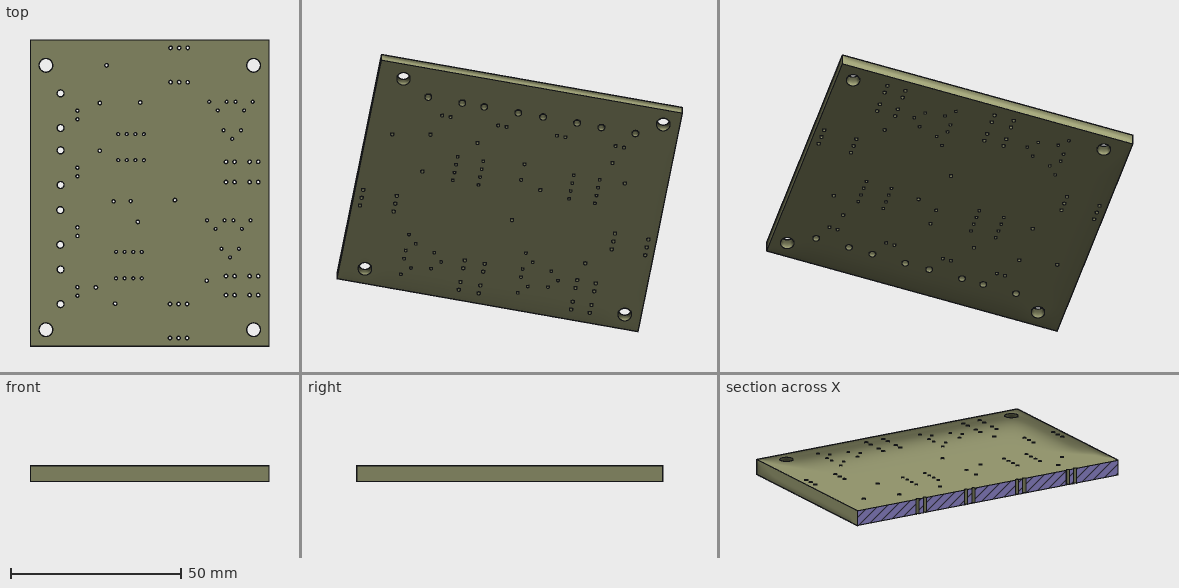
import cadquery as cq

WIDTH = 70.3
LENGTH = 90.1
THICKNESS = 4.7

MOUNT_DIAMETER = 4.0
TERMINAL_DIAMETER = 2.0
LEAD_DIAMETER = 1.0
PAD_DIAMETER = 0.89
FINE_DIAMETER = 0.8

PITCH = 2.5

MOUNT_X = (-30.5, 30.5)
MOUNT_Y = (-40.2, 37.6)

TERMINAL_SPAN = 10.2
TERMINAL_CENTERS = [(-26.2, 24.2), (-26.2, 7.5), (-26.3, -10.1), (-26.2, -27.6)]

CAPACITOR_X = -21.3
CAPACITOR_CENTERS_Y = (23.0, 6.2, -11.35, -28.9)

HEADER_CENTERS = [(8.65, 42.7), (8.65, 32.6), (8.5, -32.6), (8.5, -42.6)]

CHIPS = [((-5.5, 13.5), 7.7), ((-6.1, -21.2), 7.75)]
CHIP_PINS_PER_ROW = 4

PAIR_CENTERS_X = (23.7, 30.6)
PAIR_ROWS_Y = (9.2, 3.2, -24.4, -30.0)

CLUSTER_ORIGINS = [(17.5, 26.85), (16.85, -8.0)]
CLUSTER_OFFSETS = [
    (0, 0), (5.1, 0), (7.75, 0), (12.8, 0),
    (2.5, -2.5), (10.3, -2.5),
    (4.2, -8.4), (9.4, -8.4), (6.8, -10.9),
]

LEAD_POINTS = [
    (-12.7, 37.6), (-14.7, 26.5), (-2.8, 26.7), (-14.7, 12.4), (7.4, -2.1),
    (-3.5, -8.5), (16.8, -25.8), (-15.9, -27.75), (-10.2, -32.5),
]

PAD_POINTS = [(-10.6, -2.4), (-5.6, -2.3)]


def pin_row(center, count, spacing):
    """Points of a row along X, centred on the given point."""
    x, y = center
    middle = (count - 1) / 2
    return [(x + (i - middle) * spacing, y) for i in range(count)]


def pin_column(center, spacing):
    """Two points along Y, centred on the given point."""
    x, y = center
    return [(x, y + spacing / 2), (x, y - spacing / 2)]


def drill(board, points, diameter):
    """Drill through holes from the top face."""
    top = cq.Workplane("XY").workplane(offset=THICKNESS)
    drills = top.pushPoints(points).circle(diameter / 2).extrude(-THICKNESS)
    return board.cut(drills)


mount_points = [(x, y) for x in MOUNT_X for y in MOUNT_Y]

terminal_points = []
for center in TERMINAL_CENTERS:
    terminal_points += pin_column(center, TERMINAL_SPAN)

pad_points = list(PAD_POINTS)
for y in CAPACITOR_CENTERS_Y:
    pad_points += pin_column((CAPACITOR_X, y), PITCH)

lead_points = list(LEAD_POINTS)
for x in PAIR_CENTERS_X:
    for y in PAIR_ROWS_Y:
        lead_points += pin_row((x, y), 2, PITCH)
for center in HEADER_CENTERS:
    lead_points += pin_row(center, 3, PITCH)

fine_points = []
for chip_center, row_distance in CHIPS:
    for row_center in pin_column(chip_center, row_distance):
        fine_points += pin_row(row_center, CHIP_PINS_PER_ROW, PITCH)
for x, y in CLUSTER_ORIGINS:
    fine_points += [(x + dx, y + dy) for dx, dy in CLUSTER_OFFSETS]

result = cq.Workplane("XY").box(WIDTH, LENGTH, THICKNESS, centered=(True, True, False))
result = drill(result, mount_points, MOUNT_DIAMETER)
result = drill(result, terminal_points, TERMINAL_DIAMETER)
result = drill(result, lead_points, LEAD_DIAMETER)
result = drill(result, pad_points, PAD_DIAMETER)
result = drill(result, fine_points, FINE_DIAMETER)